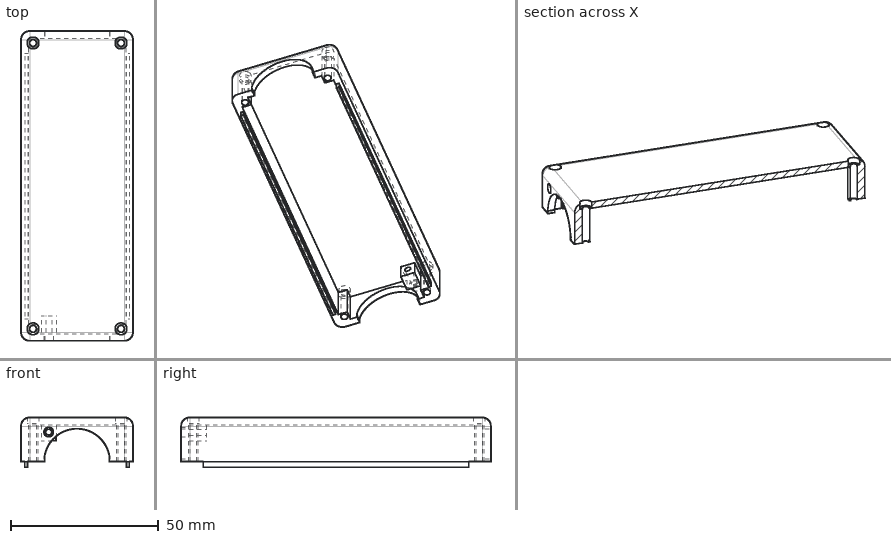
import cadquery as cq

LENGTH_X = 38.0
LENGTH_Y = 105.0
BODY_HEIGHT = 15.0
EDGE_RADIUS = 3.0
WALL = 2.5

TONGUE_DEPTH = 2.0
TONGUE_WIDTH = 1.0
TONGUE_LENGTH = 90.0
TONGUE_CENTER_X = 17.25

ARCH_RADIUS = 11.1
ARCH_FOOT_HEIGHT = 1.0
ARCH_FOOT_SPAN = 21.8

SCREW_INSET = 4.1
SCREW_HOLE_DIAMETER = 2.3
SCREW_HEAD_DIAMETER = 4.0
SCREW_HEAD_DEPTH = 2.0

JACK_X = -9.6
JACK_Z = 10.0
JACK_HOLE_DIAMETER = 3.2
JACK_BORE_DIAMETER = 2.0
JACK_BLOCK_WIDTH = 5.0
JACK_BLOCK_BOTTOM = 7.0
JACK_BLOCK_LENGTH = 6.0

CAVITY_X = LENGTH_X - 2 * WALL
CAVITY_Y = LENGTH_Y - 2 * WALL
CAVITY_HEIGHT = BODY_HEIGHT - WALL
POST_SIZE = 2 * (SCREW_INSET - WALL)
SCREW_X = LENGTH_X / 2 - SCREW_INSET
SCREW_Y = LENGTH_Y / 2 - SCREW_INSET
FRONT_Y = -LENGTH_Y / 2
SCREW_POINTS = [(sx * SCREW_X, sy * SCREW_Y) for sx in (-1, 1) for sy in (-1, 1)]


def block(size_x, size_y, z_low, z_high, center_x=0.0, center_y=0.0):
    """Upright box between two heights, centred on a plan position."""
    height = z_high - z_low
    box = cq.Workplane("XY").box(size_x, size_y, height, centered=(True, True, False))
    return box.translate((center_x, center_y, z_low))


def rod_along_y(diameter, length, x, y_start, z):
    """Cylinder that starts at y_start and runs toward +Y."""
    plane = cq.Plane(origin=(x, y_start, z), xDir=(1, 0, 0), normal=(0, 1, 0))
    return cq.Workplane(plane).circle(diameter / 2).extrude(length)


def outer_body():
    """Block with rounded corners and a rounded top rim."""
    body = block(LENGTH_X, LENGTH_Y, 0, BODY_HEIGHT)
    return body.edges("|Z").fillet(EDGE_RADIUS).faces(">Z").edges().fillet(EDGE_RADIUS)


def corner_posts():
    """Square columns in the cavity corners, joined to the walls, that carry the screws."""
    return cq.Workplane("XY").pushPoints(SCREW_POINTS).rect(POST_SIZE, POST_SIZE).extrude(BODY_HEIGHT)


def jack_block():
    """Block that hangs from the roof behind the jack hole."""
    return block(
        JACK_BLOCK_WIDTH,
        JACK_BLOCK_LENGTH,
        JACK_BLOCK_BOTTOM,
        BODY_HEIGHT,
        JACK_X,
        FRONT_Y + WALL + JACK_BLOCK_LENGTH / 2,
    )


def cavity():
    """Inner space, open at the bottom, less the posts and the jack block."""
    space = block(CAVITY_X, CAVITY_Y, 0, CAVITY_HEIGHT)
    return space.cut(corner_posts()).cut(jack_block())


def arch_openings():
    """Half-round cut in each end wall, narrowed by a low upright foot on both sides."""
    round_cut = rod_along_y(2 * ARCH_RADIUS, WALL, 0, FRONT_Y, 0)
    above_feet = block(2 * ARCH_RADIUS, LENGTH_Y, ARCH_FOOT_HEIGHT, BODY_HEIGHT)
    between_feet = block(ARCH_FOOT_SPAN, WALL, 0, ARCH_FOOT_HEIGHT, 0, FRONT_Y + WALL / 2)
    front = round_cut.intersect(above_feet).union(between_feet)
    return front.union(front.mirror("XZ"))


def jack_hole():
    """Wide mouth through the wall and a narrower bore through the block."""
    mouth = rod_along_y(JACK_HOLE_DIAMETER, WALL, JACK_X, FRONT_Y, JACK_Z)
    bore = rod_along_y(JACK_BORE_DIAMETER, WALL + JACK_BLOCK_LENGTH, JACK_X, FRONT_Y, JACK_Z)
    return mouth.union(bore)


def screw_holes():
    """Through holes with flat head recesses in the four corners."""
    shafts = cq.Workplane("XY").pushPoints(SCREW_POINTS)
    shafts = shafts.circle(SCREW_HOLE_DIAMETER / 2).extrude(BODY_HEIGHT)
    heads = cq.Workplane("XY").workplane(offset=BODY_HEIGHT - SCREW_HEAD_DEPTH)
    heads = heads.pushPoints(SCREW_POINTS).circle(SCREW_HEAD_DIAMETER / 2).extrude(SCREW_HEAD_DEPTH)
    return shafts.union(heads)


def tongue(side):
    """Thin rib below one long wall; side is -1 or 1 along X."""
    return block(TONGUE_WIDTH, TONGUE_LENGTH, -TONGUE_DEPTH, 0, side * TONGUE_CENTER_X)


result = outer_body().cut(cavity()).cut(arch_openings()).cut(jack_hole()).cut(screw_holes())
for side in (-1, 1):
    result = result.union(tongue(side))